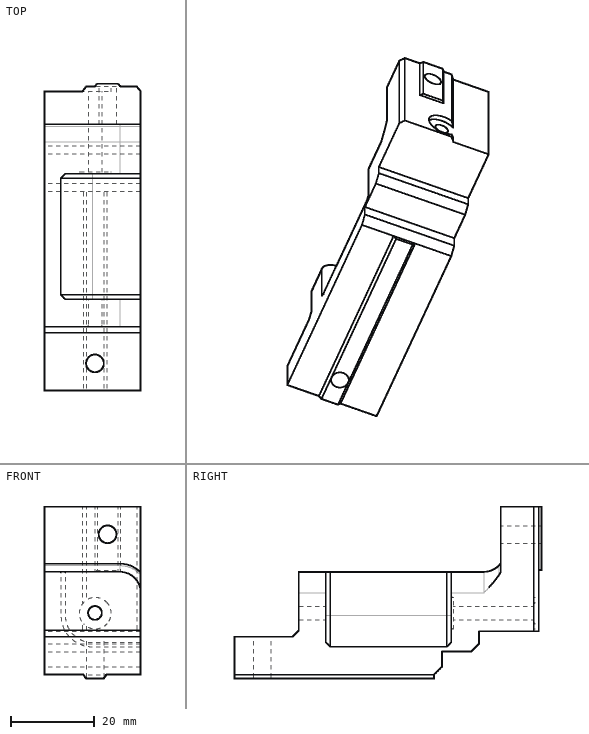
import cadquery as cq
import math

width = 23.0
length = 73.15
height = 40.95

base_bottom = 0.95
back_face = 71.3
foot_top = 10.0
body_front = 15.3
body_top = 25.45
flange_front = 63.4
foot_chamfer = 1.45
flange_bottom = 11.3
lower_step_y = 49.45
ledge_z = 6.4
upper_step_y = 58.3
step_chamfer = 1.9

edge_radius = 5.0
cove_radius = 5.2
cove_end_y = 59.3

pocket_left = 3.95
pocket_front = 21.8
pocket_back = 51.65
pocket_floor = 7.6
pocket_floor_radius = 7.45
pocket_edge_chamfer = 1.0

bottom_rail_x = 12.1
bottom_rail_width = 5.55
bottom_rail_chamfer = 0.65
wide_rail_width = 13.9
wide_rail_x = width - wide_rail_width / 2
wide_rail_back = 72.5
wide_rail_chamfer = 0.95
narrow_rail_x = 15.1
narrow_rail_width = 6.15
narrow_rail_chamfer = 0.6
narrow_rail_bottom = 25.8

screw_diameter = 4.2
flange_hole_z = 34.4
foot_hole_y = 6.5
bore_x = 12.1
bore_z = 15.65
bore_diameter = 3.2
counterbore_diameter = 7.5
counterbore_depth = 0.5


def box(x0, x1, y0, y1, z0, z1):
    """Axis-aligned box between opposite corners."""
    return cq.Workplane("XY").box(x1 - x0, y1 - y0, z1 - z0, centered=False).translate((x0, y0, z0))


def y_cylinder(x, z, diameter, y0, y1):
    """Cylinder along Y between two positions."""
    return cq.Workplane("XZ", origin=(x, y0, z)).circle(diameter / 2).extrude(y0 - y1)


def make_body():
    """Side profile with its steps, extruded over the full width."""
    profile = [
        (0, base_bottom),
        (0, foot_top),
        (body_front - foot_chamfer, foot_top),
        (body_front, foot_top + foot_chamfer),
        (body_front, body_top),
        (flange_front, body_top),
        (flange_front, height),
        (back_face, height),
        (back_face, flange_bottom),
        (upper_step_y, flange_bottom),
        (upper_step_y, ledge_z + step_chamfer),
        (upper_step_y - step_chamfer, ledge_z),
        (lower_step_y, ledge_z),
        (lower_step_y, base_bottom + step_chamfer),
        (lower_step_y - step_chamfer, base_bottom),
    ]
    return cq.Workplane("YZ").polyline(profile).close().extrude(width)


def make_edge_round():
    """Material removed to round the open-side top edge in front of the flange."""
    center_x = width - edge_radius
    center_z = body_top - edge_radius
    corner = box(center_x, width, body_front, flange_front, center_z, body_top)
    return corner.cut(y_cylinder(center_x, center_z, 2 * edge_radius, body_front, flange_front))


def make_cove():
    """Cove at the flange foot: 45-degree arc and tangent lead-out, carried around the rounded edge."""
    turn_x = width - edge_radius
    turn_z = body_top - edge_radius
    arc_run = cove_radius * math.sin(math.pi / 4)
    arc_rise = cove_radius - arc_run
    root_z = turn_z + edge_radius / 2
    mid_run = cove_radius * math.sin(math.pi / 8)
    mid_rise = cove_radius * (1 - math.cos(math.pi / 8))
    arc_end_y = cove_end_y + arc_run
    lead_out = flange_front - arc_end_y

    def section(x):
        return (
            cq.Workplane("YZ", origin=(x, 0, 0))
            .moveTo(cove_end_y, body_top)
            .threePointArc((cove_end_y + mid_run, body_top + mid_rise), (arc_end_y, body_top + arc_rise))
            .lineTo(flange_front, body_top + arc_rise + lead_out)
            .lineTo(flange_front, root_z)
            .lineTo(cove_end_y, root_z)
            .close()
        )

    straight = section(0).extrude(turn_x)
    turned = section(turn_x).revolve(90, (0, turn_z), (1, turn_z))
    within_width = box(0, width, 0, length, 0, height)
    return straight.union(turned.intersect(within_width))


def make_pocket():
    """Pocket cutter with a curved floor corner and chamfered edges at both end walls."""
    cutter = (
        box(pocket_left, 2 * width, pocket_front, pocket_back, pocket_floor, 2 * height)
        .edges("<X and <Z")
        .fillet(pocket_floor_radius)
    )
    return cutter.faces("<Y or >Y").chamfer(pocket_edge_chamfer)


def make_back_rail(center_x, rail_width, face_y, rail_back, chamfer, z0):
    """Vertical rail on the back face, narrowed at its outer corners."""
    half = rail_width / 2
    points = [
        (center_x - half, face_y),
        (center_x - half + chamfer, rail_back),
        (center_x + half - chamfer, rail_back),
        (center_x + half, face_y),
    ]
    return cq.Workplane("XY", origin=(0, 0, z0)).polyline(points).close().extrude(height - z0)


def make_bottom_rail():
    """Tapered rail under the base, running back to the first step."""
    half = bottom_rail_width / 2
    points = [
        (bottom_rail_x - half, base_bottom),
        (bottom_rail_x - half + bottom_rail_chamfer, 0),
        (bottom_rail_x + half - bottom_rail_chamfer, 0),
        (bottom_rail_x + half, base_bottom),
    ]
    return cq.Workplane("XZ").polyline(points).close().extrude(step_chamfer - lower_step_y)


result = (
    make_body()
    .cut(make_edge_round())
    .union(make_cove())
    .cut(make_pocket())
    .union(make_bottom_rail())
    .union(make_back_rail(wide_rail_x, wide_rail_width, back_face, wide_rail_back,
                          wide_rail_chamfer, flange_bottom))
    .union(make_back_rail(narrow_rail_x, narrow_rail_width, wide_rail_back, length,
                          narrow_rail_chamfer, narrow_rail_bottom))
    .cut(y_cylinder(narrow_rail_x, flange_hole_z, screw_diameter, 0, length))
    .cut(y_cylinder(bore_x, bore_z, bore_diameter, 0, length))
    .cut(y_cylinder(bore_x, bore_z, counterbore_diameter, pocket_back, pocket_back + counterbore_depth))
    .cut(y_cylinder(bore_x, bore_z, counterbore_diameter, back_face, length))
    .cut(cq.Workplane("XY", origin=(bottom_rail_x, foot_hole_y, 0)).circle(screw_diameter / 2).extrude(height))
)